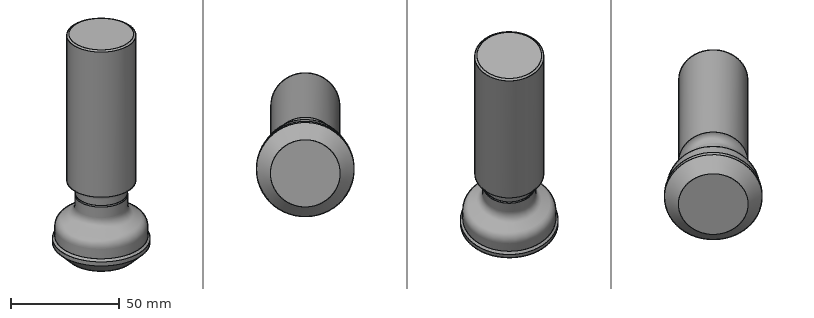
import cadquery as cq
import math

total_height = 116.5

head_radius = 45.1 / 2
head_height = 9.7
head_face_radius = 16.1
bevel_height = head_radius - head_face_radius

shank_radius = 31.9 / 2
shank_bottom = 39.2
shank_chamfer_width = 1.0
shank_chamfer_height = 0.6

neck_radius = 24.0 / 2
neck_fillet = 3.5
neck_bottom = 32.5
collar_radius = 24.5 / 2
collar_top = 31.8

bell_radius = 43.0 / 2
bell_rim_top = 14.8
bell_fillet = 5.0
cone_slope = math.radians(30)

head_chamfer = head_radius - bell_radius


def arc_point(center, radius, angle):
    """Point (r, z) on a circle, at an angle from the outward radial direction."""
    return (center[0] + radius * math.cos(angle), center[1] + radius * math.sin(angle))


def make_holder():
    """Shank, neck and bell, revolved as one solid standing on the head."""
    arc_sweep = math.pi / 2 - cone_slope
    convex_center = (bell_radius - bell_fillet, bell_rim_top)
    cone_bottom = arc_point(convex_center, bell_fillet, arc_sweep)
    convex_middle = arc_point(convex_center, bell_fillet, arc_sweep / 2)

    concave_r = collar_radius + bell_fillet
    cone_top_r = concave_r - bell_fillet * math.cos(arc_sweep)
    cone_top_z = cone_bottom[1] + (cone_bottom[0] - cone_top_r) * math.tan(cone_slope)
    collar_bottom = cone_top_z + bell_fillet * math.sin(arc_sweep)
    concave_center = (concave_r, collar_bottom)
    concave_middle = arc_point(concave_center, bell_fillet, math.pi + arc_sweep / 2)

    neck_arc_center = (neck_radius + neck_fillet, shank_bottom - neck_fillet)
    neck_arc_middle = arc_point(neck_arc_center, neck_fillet, math.radians(135))

    profile = (
        cq.Workplane("XZ")
        .moveTo(0, head_height)
        .lineTo(bell_radius, head_height)
        .lineTo(bell_radius, bell_rim_top)
        .threePointArc(convex_middle, cone_bottom)
        .lineTo(cone_top_r, cone_top_z)
        .threePointArc(concave_middle, (collar_radius, collar_bottom))
        .lineTo(collar_radius, collar_top)
        .lineTo(neck_radius, neck_bottom)
        .lineTo(neck_radius, neck_arc_center[1])
        .threePointArc(neck_arc_middle, (neck_arc_center[0], shank_bottom))
        .lineTo(shank_radius, shank_bottom)
        .lineTo(shank_radius, total_height - shank_chamfer_height)
        .lineTo(shank_radius - shank_chamfer_width, total_height)
        .lineTo(0, total_height)
        .close()
    )
    return profile.revolve(360, (0, 0, 0), (0, 1, 0))


def make_cutting_head():
    """Disc with a short chamfer above and a deep bevel below its widest band."""
    profile = (
        cq.Workplane("XZ")
        .lineTo(head_face_radius, 0)
        .lineTo(head_radius, bevel_height)
        .lineTo(head_radius, head_height - head_chamfer)
        .lineTo(bell_radius, head_height)
        .lineTo(0, head_height)
        .close()
    )
    return profile.revolve(360, (0, 0, 0), (0, 1, 0))


holder = make_holder()
cutting_head = make_cutting_head()

result = cq.Compound.makeCompound([holder.val(), cutting_head.val()])